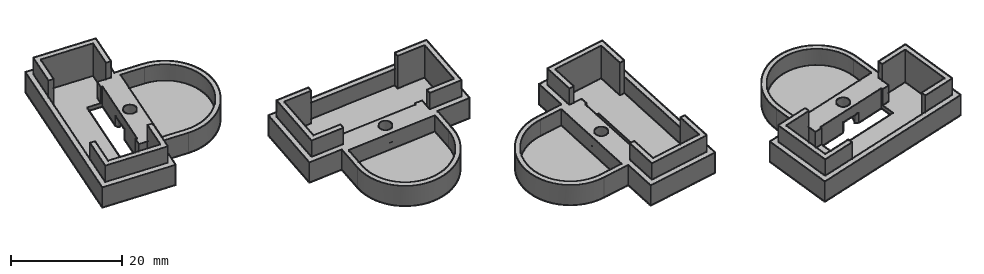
import cadquery as cq

base_length = 33.5
base_width = 14.5
base_height = 5.0
total_height = 9.0
total_depth = 30.0
overlap = 0.35

tray_width = 20.0
tray_wall = 0.97
floor_thickness = 1.0
tray_radius = tray_width / 2
tray_inner_radius = tray_radius - tray_wall
base_front = -base_width / 2
base_back = base_width / 2
tray_center_y = base_front + total_depth - tray_radius
tray_front_y = base_front + 15.28

ledge = 1.07
collar_wall = 1.0
collar_length = base_length - 2 * ledge
collar_width = base_width - 2 * ledge
pocket_length = collar_length - 2 * collar_wall
pocket_width = collar_width - 2 * collar_wall
collar_gap = 2 * tray_inner_radius

bridge_front_y = base_front + 10.72
slot_length = 15.08
slot_width = 3.05
slot_back_y = base_front + 11.05

hole_diameter = 2.5
hole_y = base_front + 13.05
recess_diameter = 4.0
recess_height = 2.5
mouth_width = 3.95
throat_width = 2.35
mouth_depth = 0.55
throat_rounding = 0.17


def block(length, front_y, back_y, bottom, top):
    """Box centred in X between the given Y and Z limits."""
    return (
        cq.Workplane("XY")
        .box(length, back_y - front_y, top - bottom, centered=(True, False, False))
        .translate((0, front_y, bottom))
    )


def round_ended(radius, front_y, bottom, top):
    """Straight-sided block whose back end is a half circle about the tray centre."""
    return (
        cq.Workplane("XY", origin=(0, 0, bottom))
        .moveTo(-radius, front_y)
        .lineTo(radius, front_y)
        .lineTo(radius, tray_center_y)
        .threePointArc((0, tray_center_y + radius), (-radius, tray_center_y))
        .close()
        .extrude(top - bottom)
    )


def make_body():
    base = block(base_length, base_front, base_back, 0, base_height)
    tray = round_ended(tray_radius, base_back - overlap, 0, base_height)
    collar = block(
        collar_length, -collar_width / 2, collar_width / 2, base_height - overlap, total_height
    )
    gap = block(collar_gap, base_front, base_back, base_height, total_height)
    return base.union(tray).union(collar.cut(gap))


def make_pocket():
    """Pocket that runs forward under the collar gap and stops at the bridge."""
    ends = block(pocket_length, -pocket_width / 2, pocket_width / 2, floor_thickness, total_height)
    bridge = block(collar_gap, bridge_front_y, base_back, floor_thickness, total_height)
    front_gap = block(collar_gap, -collar_width / 2, 0, floor_thickness, total_height)
    return ends.cut(bridge).union(front_gap)


def make_screw_recess():
    """Through hole, wider round recess below it and a flared, rounded mouth into the slot."""
    hole = cq.Workplane("XY").center(0, hole_y).circle(hole_diameter / 2).extrude(base_height)
    recess = cq.Workplane("XY").center(0, hole_y).circle(recess_diameter / 2).extrude(recess_height)
    mouth = (
        cq.Workplane("XY")
        .moveTo(-mouth_width / 2, slot_back_y)
        .lineTo(mouth_width / 2, slot_back_y)
        .lineTo(throat_width / 2, slot_back_y + mouth_depth)
        .lineTo(-throat_width / 2, slot_back_y + mouth_depth)
        .close()
        .extrude(recess_height)
    )
    throat_corners = cq.selectors.BoxSelector(
        (-recess_diameter / 2, slot_back_y + mouth_depth / 2, 0),
        (recess_diameter / 2, slot_back_y + 2 * mouth_depth, recess_height),
    )
    keyhole = recess.union(mouth).edges("|Z").edges(throat_corners).fillet(throat_rounding)
    return hole.union(keyhole)


tray_pocket = round_ended(tray_inner_radius, tray_front_y, floor_thickness, base_height)
slot = block(slot_length, slot_back_y - slot_width, slot_back_y, 0, base_height)

result = (
    make_body()
    .cut(tray_pocket)
    .cut(make_pocket())
    .cut(slot)
    .cut(make_screw_recess())
)